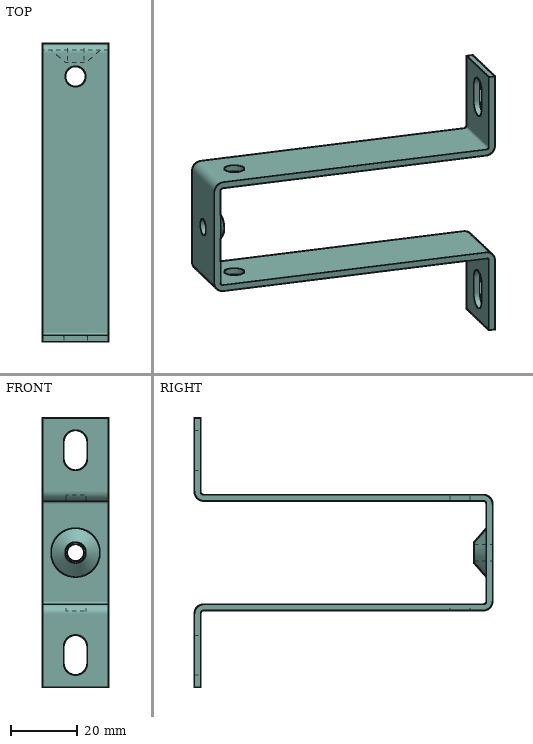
import cadquery as cq

width = 20.0
thickness = 2.0
inner_radius = 0.8
outer_radius = 3.0

depth = 90.0
height = 81.3
channel_height = 35.0

slot_width = 7.0
slot_length = 12.0
slot_spacing = 61.7
arm_hole_diameter = 6.0
arm_hole_setback = 10.0

cone_tip_diameter = 6.3
cone_height = 3.7
cone_base_diameter = 14.8
bore_diameter = 5.0

half_height = height / 2
half_channel = channel_height / 2
inner_half = half_channel - thickness
web_inner_y = depth - thickness
cone_tip_y = web_inner_y - cone_height


def round_bends(body, corners, radius):
    """Round the bend edges at the given (y, z) corners and their mirror images below z = 0."""
    bends = [
        body.edges("|X").edges(cq.NearestToPointSelector((0, y, side * z))).val()
        for y, z in corners
        for side in (-1, 1)
    ]
    return cq.Workplane(body.val().fillet(radius, bends))


def make_strap():
    """Hat-shaped strap with every bend rounded inside and outside."""
    outline = [
        (0, half_height),
        (0, inner_half),
        (web_inner_y, inner_half),
        (web_inner_y, -inner_half),
        (0, -inner_half),
        (0, -half_height),
        (thickness, -half_height),
        (thickness, -half_channel),
        (depth, -half_channel),
        (depth, half_channel),
        (thickness, half_channel),
        (thickness, half_height),
    ]
    body = cq.Workplane("YZ").polyline(outline).close().extrude(width / 2, both=True)
    body = round_bends(body, [(0, inner_half), (depth, half_channel)], outer_radius)
    return round_bends(body, [(thickness, half_channel), (web_inner_y, inner_half)], inner_radius)


def foot_slots():
    """Cutter for the upright slot in each foot."""
    return (
        cq.Workplane("XZ")
        .pushPoints([(0, -slot_spacing / 2), (0, slot_spacing / 2)])
        .slot2D(slot_length, slot_width, 90)
        .extrude(-thickness)
    )


def arm_holes():
    """Cutter for the aligned holes through both arms."""
    return (
        cq.Workplane("XY")
        .center(0, depth - arm_hole_setback)
        .circle(arm_hole_diameter / 2)
        .extrude(half_channel, both=True)
    )


def web_cone():
    """Truncated cone standing on the inside of the web."""
    return (
        cq.Workplane("XY")
        .moveTo(0, web_inner_y)
        .lineTo(cone_base_diameter / 2, web_inner_y)
        .lineTo(cone_tip_diameter / 2, cone_tip_y)
        .lineTo(0, cone_tip_y)
        .close()
        .revolve(360, (0, 0, 0), (0, 1, 0))
    )


def cone_bore():
    """Cutter for the straight hole through the cone and the web."""
    return (
        cq.Workplane("XZ", origin=(0, depth, 0))
        .circle(bore_diameter / 2)
        .extrude(depth - cone_tip_y)
    )


strap = make_strap().cut(foot_slots()).cut(arm_holes())
result = strap.union(web_cone()).cut(cone_bore())